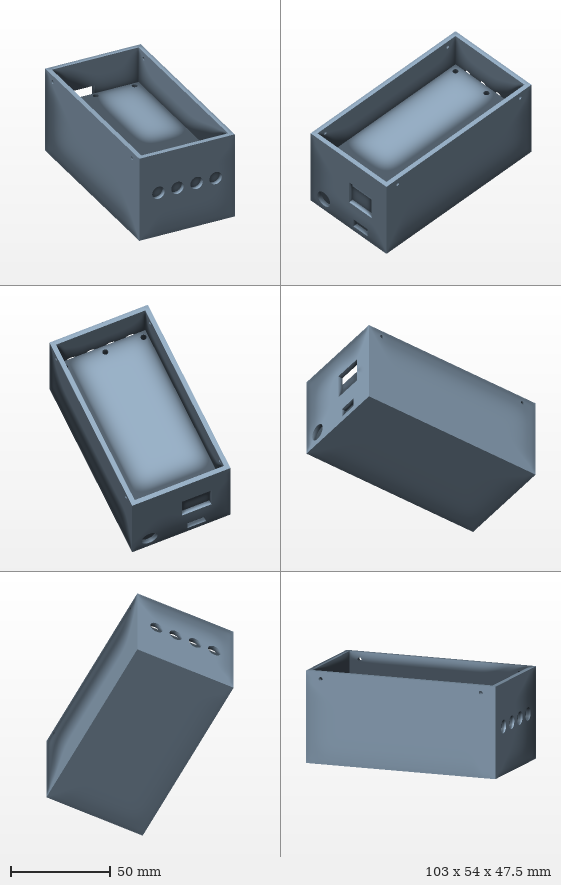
import cadquery as cq

LENGTH = 103.0
WIDTH = 54.0
HEIGHT = 47.5
WALL = 2.5
DECK_Z = 27.5

DECK_HOLE_DIAMETER = 3.0
DECK_HOLE_DEPTH = 10.0
DECK_HOLE_XS = (-46.5, 45.5)
DECK_HOLE_YS = (-22.0, -1.0, 21.0)

LID_HOLE_DIAMETER = 2.0
LID_HOLE_END_OFFSET = 8.0
LID_HOLE_TOP_OFFSET = 3.75

WINDOW_WIDTH = 16.0
WINDOW_HEIGHT = 14.0
WINDOW_Y = -8.5
WINDOW_Z = 25.0
PORT_WIDTH = 10.0
PORT_HEIGHT = 5.0
PORT_Y = -8.5
PORT_Z = 5.5
JACK_DIAMETER = 9.0
JACK_Y = 17.5
JACK_Z = 7.5

END_HOLE_DIAMETER = 7.0
END_HOLE_COUNT = 4
END_HOLE_PITCH = WIDTH / (END_HOLE_COUNT + 1)
END_HOLE_Z = 25.0


def make_tray():
    """Block with a rectangular pocket sunk from the top down to the deck."""
    block = cq.Workplane("XY").box(LENGTH, WIDTH, HEIGHT, centered=(True, True, False))
    pocket = (
        cq.Workplane("XY")
        .workplane(offset=DECK_Z)
        .rect(LENGTH - 2 * WALL, WIDTH - 2 * WALL)
        .extrude(HEIGHT - DECK_Z)
    )
    return block.cut(pocket)


def make_deck_holes():
    """Two rows of blind holes going down from the deck."""
    centres = [(x, y) for x in DECK_HOLE_XS for y in DECK_HOLE_YS]
    return (
        cq.Workplane("XY")
        .workplane(offset=DECK_Z)
        .pushPoints(centres)
        .circle(DECK_HOLE_DIAMETER / 2)
        .extrude(-DECK_HOLE_DEPTH)
    )


def make_lid_holes():
    """Two holes near the rim, running across the whole width."""
    hole_x = LENGTH / 2 - LID_HOLE_END_OFFSET
    hole_z = HEIGHT - LID_HOLE_TOP_OFFSET
    return (
        cq.Workplane("XZ")
        .pushPoints([(-hole_x, hole_z), (hole_x, hole_z)])
        .circle(LID_HOLE_DIAMETER / 2)
        .extrude(WIDTH / 2, both=True)
    )


def wall_sketch_plane(start_x):
    """YZ plane at the given X; extruding from it goes toward +X."""
    return cq.Workplane("YZ").workplane(offset=start_x)


def make_connector_openings():
    """Display window, rectangular port and round jack opening in the -X wall."""
    plane = wall_sketch_plane(-LENGTH / 2)
    window = plane.center(WINDOW_Y, WINDOW_Z).rect(WINDOW_WIDTH, WINDOW_HEIGHT).extrude(WALL)
    port = plane.center(PORT_Y, PORT_Z).rect(PORT_WIDTH, PORT_HEIGHT).extrude(WALL)
    jack = plane.center(JACK_Y, JACK_Z).circle(JACK_DIAMETER / 2).extrude(WALL)
    return window.add(port).add(jack).combine()


def make_end_holes():
    """Row of round holes in the +X wall, spread evenly over the width."""
    centres = [
        (-WIDTH / 2 + (index + 1) * END_HOLE_PITCH, END_HOLE_Z)
        for index in range(END_HOLE_COUNT)
    ]
    return (
        wall_sketch_plane(LENGTH / 2 - WALL)
        .pushPoints(centres)
        .circle(END_HOLE_DIAMETER / 2)
        .extrude(WALL)
    )


result = (
    make_tray()
    .cut(make_deck_holes())
    .cut(make_lid_holes())
    .cut(make_connector_openings())
    .cut(make_end_holes())
)